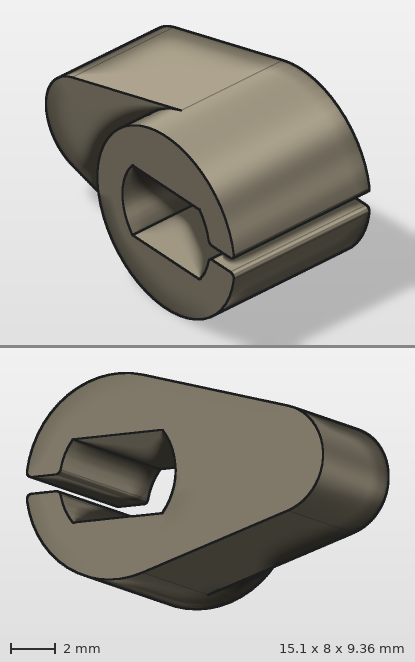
import cadquery as cq
import math

ring_radius = 4.68
ring_depth = 8.0
bore_radius = 2.97
bore_flat_height = 3.78
slot_width = 0.75
slot_corner_radius = 0.24

arm_depth = 6.0
arm_tip_radius = 2.48
arm_tip_distance = 8.02


def cylinder(radius):
    """Cylinder on the ring axis over the full depth."""
    return cq.Workplane("XZ").circle(radius).extrude(-ring_depth)


def arm():
    """Rounded arm whose straight sides touch both the ring and the tip circle."""
    taper = math.asin((ring_radius - arm_tip_radius) / arm_tip_distance)
    ring_x = -ring_radius * math.sin(taper)
    ring_z = ring_radius * math.cos(taper)
    tip_x = -arm_tip_distance - arm_tip_radius * math.sin(taper)
    tip_z = arm_tip_radius * math.cos(taper)
    tip_end = -arm_tip_distance - arm_tip_radius
    return (
        cq.Workplane("XZ", origin=(0, ring_depth - arm_depth, 0))
        .moveTo(ring_x, ring_z)
        .lineTo(tip_x, tip_z)
        .threePointArc((tip_end, 0), (tip_x, -tip_z))
        .lineTo(ring_x, -ring_z)
        .threePointArc((ring_radius, 0), (ring_x, ring_z))
        .close()
        .extrude(-arm_depth)
    )


def bore():
    """Through bore with flats above and below."""
    between_flats = cq.Workplane("XZ").rect(2 * bore_radius, bore_flat_height).extrude(-ring_depth)
    return cylinder(bore_radius).intersect(between_flats)


def slot():
    """Slit from the bore out through the +X side of the ring."""
    return (
        cq.Workplane("XZ")
        .center(ring_radius / 2, 0)
        .rect(ring_radius + bore_radius / 2, slot_width)
        .extrude(-ring_depth)
    )


def slot_corners(body):
    """Edges along Y where the slot meets the bore and the outside."""
    half_width = slot_width / 2
    corners = cq.Workplane("XZ")
    for radius in (bore_radius, ring_radius):
        corner_x = math.sqrt(radius**2 - half_width**2)
        for corner_z in (-half_width, half_width):
            edge = body.edges("|Y").edges(
                cq.selectors.NearestToPointSelector((corner_x, ring_depth / 2, corner_z))
            )
            corners = corners.add(edge)
    return corners.vals()


body = cylinder(ring_radius).union(arm()).cut(bore()).cut(slot())
result = body.newObject(slot_corners(body)).fillet(slot_corner_radius)